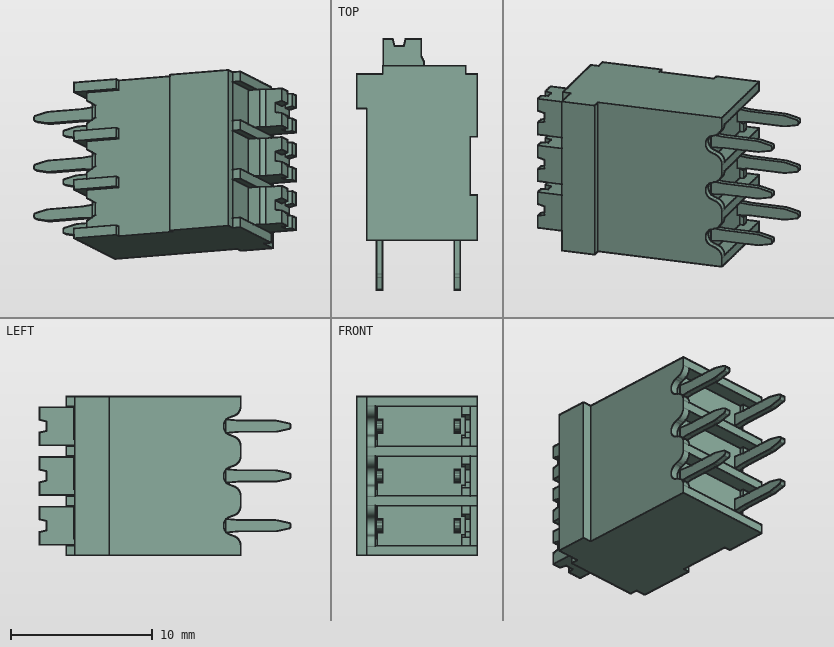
import cadquery as cq
import math


POLES = 3
PITCH = 3.5
CELL_H = 2.8
HEIGHT = 11.2
POLE_Z = [(i - (POLES - 1) / 2) * PITCH for i in range(POLES)]

WIDTH = 8.5
BODY_LEFT = 0.7
FLANGE_FRONT = 9.27
BACK = 11.72
COMB_LEFT, COMB_RIGHT = 1.82, 7.68
COMB_BACK = 12.3
SIDE_NOTCH_X = 8.0
SIDE_NOTCH_FRONT, SIDE_NOTCH_BACK = 3.2, 7.3
CAVITY_LEFT, CAVITY_RIGHT = 1.3, 7.63
LIP_X = 7.4
LIP_FRONT = 0.78

GROOVE_MOUTH_H = 1.63
GROOVE_FLOOR_H = 0.88
GROOVE_FLOOR_Y = 1.42

SCALLOP_MOUTH = 1.43
SCALLOP_UPPER, SCALLOP_UPPER_Y = 0.69, 0.58
SCALLOP_LOWER, SCALLOP_LOWER_Y = 0.62, 0.76
SCALLOP_DEPTH = 1.22

INSERT_FRONT = 1.06
INSERT_LEFT = 1.43
LEDGE_LEFT = 1.38
LEDGE_FRONT = 1.6
SLIT_END = 2.12
LEDGE_BOTTOM = -0.92
SHOULDER_BACK = 11.77
NECK_LEFT, NECK_RIGHT = 1.85, 4.55
NECK_FOOT_RIGHT = 4.75
NECK_H = 2.69
NECK_FOOT_Y, NECK_TAPER_Y = 12.6, 13.0
NECK_BACK = 14.2

NOTCH_X = 3.0
NOTCH_MOUTH = 0.88
NOTCH_FLOOR = 0.65
NOTCH_DEPTH = 0.5

PIN_LEFT_EDGES = (1.38, 6.87)
PIN_THICK = 0.45
PIN_ROOT_H = 0.97
PIN_H = 0.81
PIN_ROOT_END = 0.18
PIN_TAPER_Y = -2.48
OVERALL_LENGTH = 17.7
PIN_TIP_Y = NECK_BACK - OVERALL_LENGTH
PIN_TIP_H = 0.35
PIN_TAPER_RADIUS = 1.22
PIN_TIP_RADIUS = 0.16


def block(x0, x1, y0, y1, z0, z1):
    """Box between the given limits."""
    return cq.Workplane("XY").box(x1 - x0, y1 - y0, z1 - z0, centered=False).translate((x0, y0, z0))


def cell_block(x0, x1, y0, y1, z):
    """Box that fills the clear height of the pole at z."""
    return block(x0, x1, y0, y1, z - CELL_H / 2, z + CELL_H / 2)


def side_prism(x0, x1):
    """Workplane at x0 for a (y, z) sketch, and the length to extrude to x1."""
    return cq.Workplane("YZ", origin=(x0, 0, 0)), x1 - x0


def scallop(z):
    """Bell-shaped cut through the left wall."""
    convex_r = (SCALLOP_UPPER_Y**2 + (SCALLOP_MOUTH - SCALLOP_UPPER)**2) / (2 * SCALLOP_UPPER_Y)
    half_turn = math.asin((SCALLOP_MOUTH - SCALLOP_UPPER) / convex_r) / 2
    mid_y = convex_r * (1 - math.cos(half_turn))
    mid_z = SCALLOP_MOUTH - convex_r * math.sin(half_turn)
    plane, length = side_prism(BODY_LEFT, CAVITY_LEFT)
    return (
        plane.moveTo(0, SCALLOP_MOUTH)
        .threePointArc((mid_y, mid_z), (SCALLOP_UPPER_Y, SCALLOP_UPPER))
        .lineTo(SCALLOP_LOWER_Y, SCALLOP_LOWER)
        .threePointArc((SCALLOP_DEPTH, 0), (SCALLOP_LOWER_Y, -SCALLOP_LOWER))
        .lineTo(SCALLOP_UPPER_Y, -SCALLOP_UPPER)
        .threePointArc((mid_y, -mid_z), (0, -SCALLOP_MOUTH))
        .close()
        .extrude(length)
        .translate((0, 0, z))
    )


def finger_groove(z):
    """Trapezoidal groove through the retaining lip and the wall behind it."""
    plane, length = side_prism(LIP_X, SIDE_NOTCH_X)
    return (
        plane.polyline([
            (LIP_FRONT, GROOVE_MOUTH_H / 2),
            (GROOVE_FLOOR_Y, GROOVE_FLOOR_H / 2),
            (GROOVE_FLOOR_Y, -GROOVE_FLOOR_H / 2),
            (LIP_FRONT, -GROOVE_MOUTH_H / 2),
        ])
        .close()
        .extrude(length)
        .translate((0, 0, z))
    )


def make_housing():
    """Housing with one cavity per pole."""
    body = (
        cq.Workplane("XY", origin=(0, 0, -HEIGHT / 2))
        .polyline([
            (BODY_LEFT, 0),
            (WIDTH, 0),
            (WIDTH, SIDE_NOTCH_FRONT),
            (SIDE_NOTCH_X, SIDE_NOTCH_FRONT),
            (SIDE_NOTCH_X, SIDE_NOTCH_BACK),
            (WIDTH, SIDE_NOTCH_BACK),
            (WIDTH, BACK),
            (COMB_RIGHT, BACK),
            (COMB_RIGHT, COMB_BACK),
            (COMB_LEFT, COMB_BACK),
            (COMB_LEFT, BACK),
            (0, BACK),
            (0, FLANGE_FRONT),
            (BODY_LEFT, FLANGE_FRONT),
        ])
        .close()
        .extrude(HEIGHT)
    )
    for z in POLE_Z:
        body = body.cut(cell_block(CAVITY_LEFT, CAVITY_RIGHT, INSERT_FRONT, COMB_BACK, z))
        body = body.cut(cell_block(CAVITY_LEFT, LIP_X, 0, INSERT_FRONT, z))
        body = body.cut(cell_block(LIP_X, WIDTH, 0, LIP_FRONT, z))
        body = body.cut(cell_block(SIDE_NOTCH_X, WIDTH, 0, SIDE_NOTCH_BACK, z))
        body = body.cut(cell_block(COMB_LEFT, COMB_RIGHT, BACK, COMB_BACK, z))
        body = body.cut(finger_groove(z))
        body = body.cut(scallop(z))
    return body


def end_notch(plane_name):
    """Tapered notch in the end of the neck, running along the normal of the named plane."""
    floor_y = NECK_BACK - NOTCH_DEPTH
    points = [
        (-NOTCH_MOUTH / 2, NECK_BACK),
        (-NOTCH_FLOOR / 2, floor_y),
        (NOTCH_FLOOR / 2, floor_y),
        (NOTCH_MOUTH / 2, NECK_BACK),
    ]
    if plane_name == "YZ":
        points = [(y, z) for z, y in points]
    return cq.Workplane(plane_name).polyline(points).close().extrude(WIDTH, both=True)


def make_insert(z):
    """Insert that fills one cavity and sticks out at the back as a notched neck."""
    main = cell_block(INSERT_LEFT, CAVITY_RIGHT, INSERT_FRONT, BACK, 0)
    main = main.union(cell_block(CAVITY_LEFT, INSERT_LEFT, SLIT_END, BACK, 0))
    ledge = block(LEDGE_LEFT, INSERT_LEFT, LEDGE_FRONT, SLIT_END, LEDGE_BOTTOM, CELL_H / 2)
    shoulder = block(COMB_LEFT, NECK_LEFT, BACK, SHOULDER_BACK, LEDGE_BOTTOM, NECK_H / 2)
    neck = (
        cq.Workplane("XY", origin=(0, 0, -NECK_H / 2))
        .polyline([
            (NECK_LEFT, BACK),
            (NECK_FOOT_RIGHT, BACK),
            (NECK_FOOT_RIGHT, NECK_FOOT_Y),
            (NECK_RIGHT, NECK_TAPER_Y),
            (NECK_RIGHT, NECK_BACK),
            (NECK_LEFT, NECK_BACK),
        ])
        .close()
        .extrude(NECK_H)
        .cut(end_notch("XY").translate((NOTCH_X, 0, 0)))
        .cut(end_notch("YZ"))
    )
    return main.union(ledge).union(shoulder).union(neck).translate((0, 0, z))


def make_pin(x, z):
    """Flat pin with a flared root and a tapered, rounded tip."""
    plane, length = side_prism(x, x + PIN_THICK)
    upper = [
        (INSERT_FRONT, PIN_ROOT_H / 2),
        (PIN_ROOT_END, PIN_H / 2),
        (PIN_TAPER_Y, PIN_H / 2),
        (PIN_TIP_Y, PIN_TIP_H / 2),
    ]
    lower = [(y, -half) for y, half in reversed(upper)]
    pin = plane.polyline(upper + lower).close().extrude(length)
    pin = pin.edges("|X and <Y").fillet(PIN_TIP_RADIUS)
    for side in (1, -1):
        taper_point = (x + PIN_THICK / 2, PIN_TAPER_Y, side * PIN_H / 2)
        pin = pin.edges(cq.NearestToPointSelector(taper_point)).fillet(PIN_TAPER_RADIUS)
    return pin.translate((0, 0, z))


inserts = [make_insert(z) for z in POLE_Z]
pins = [make_pin(x, z) for z in POLE_Z for x in PIN_LEFT_EDGES]
housing = make_housing()

result = cq.Compound.makeCompound([
    housing.val(),
    *[insert.val() for insert in inserts],
    *[pin.val() for pin in pins],
])